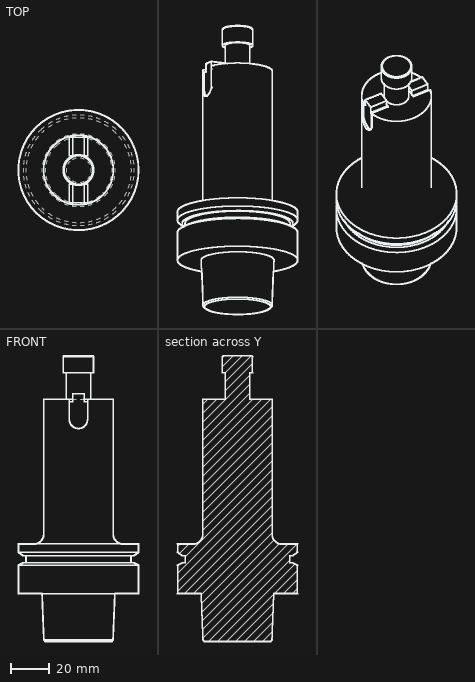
import cadquery as cq


shank_length = 25.0
shank_top_diameter = 38.2
shank_end_diameter = 36.3
shank_end_chamfer = 0.8

flange_diameter = 63.0
flange_height = 26.0
groove_lower_edge = 14.9
groove_lower_floor = 16.2
groove_upper_floor = 19.8
groove_upper_edge = 21.6
groove_floor_diameter = 55.0
groove_wall_foot_diameter = 58.0

arbor_diameter = 36.5
arbor_top = 101.7
arbor_root_radius = 5.0

key_width = 6.0
key_top = arbor_top + 2.8
key_inner_y = 7.5
key_outer_y = 17.0
slot_width = 9.5
slot_depth = 15.4
shoulder_depth = 1.4

screw_top = 124.46
screw_head_height = 9.0
screw_head_diameter = 16.0
screw_head_chamfer = 0.5
screw_stem_diameter = 13.0


def make_shank():
    """Solid tapered shank with a chamfered lower end."""
    end_radius = shank_end_diameter / 2
    return (
        cq.Workplane("XZ")
        .moveTo(0, 0)
        .lineTo(shank_top_diameter / 2, 0)
        .lineTo(end_radius, -shank_length + shank_end_chamfer)
        .lineTo(end_radius - shank_end_chamfer, -shank_length)
        .lineTo(0, -shank_length)
        .close()
        .revolve(360, (0, 0, 0), (0, 1, 0))
    )


def make_flange():
    """Flange disc with a groove that has sloped, stepped walls around its rim."""
    rim_radius = flange_diameter / 2
    foot_radius = groove_wall_foot_diameter / 2
    floor_radius = groove_floor_diameter / 2
    return (
        cq.Workplane("XZ")
        .moveTo(0, 0)
        .lineTo(rim_radius, 0)
        .lineTo(rim_radius, groove_lower_edge)
        .lineTo(foot_radius, groove_lower_floor)
        .lineTo(floor_radius, groove_lower_floor)
        .lineTo(floor_radius, groove_upper_floor)
        .lineTo(foot_radius, groove_upper_floor)
        .lineTo(rim_radius, groove_upper_edge)
        .lineTo(rim_radius, flange_height)
        .lineTo(0, flange_height)
        .close()
        .revolve(360, (0, 0, 0), (0, 1, 0))
    )


def make_arbor():
    """Cylindrical arbor with a concave fillet where it meets the flange."""
    radius = arbor_diameter / 2
    return (
        cq.Workplane("XZ")
        .moveTo(0, flange_height)
        .lineTo(radius + arbor_root_radius, flange_height)
        .radiusArc((radius, flange_height + arbor_root_radius), arbor_root_radius)
        .lineTo(radius, arbor_top)
        .lineTo(0, arbor_top)
        .close()
        .revolve(360, (0, 0, 0), (0, 1, 0))
    )


def make_round_bottomed_prism(top_z, outer_y):
    """Prism with the slot's round-bottomed outline, from the key's inner end out to Y = -outer_y."""
    half_width = slot_width / 2
    bottom_z = arbor_top - slot_depth
    arc_center_z = bottom_z + half_width
    return (
        cq.Workplane("XZ", origin=(0, -key_inner_y, 0))
        .moveTo(-half_width, top_z)
        .lineTo(-half_width, arc_center_z)
        .threePointArc((0, bottom_z), (half_width, arc_center_z))
        .lineTo(half_width, top_z)
        .close()
        .extrude(outer_y - key_inner_y)
    )


def make_key_slot():
    """Slot cutter that opens through the arbor's side and top."""
    return make_round_bottomed_prism(arbor_top, arbor_diameter / 2)


def make_key():
    """Key filling the slot up to its shoulders, with a narrower tenon on top."""
    shoulder_z = arbor_top - shoulder_depth
    base = make_round_bottomed_prism(shoulder_z, key_outer_y)
    tenon = (
        cq.Workplane("XY", origin=(0, -(key_inner_y + key_outer_y) / 2, shoulder_z))
        .rect(key_width, key_outer_y - key_inner_y)
        .extrude(key_top - shoulder_z)
    )
    return base.union(tenon)


def make_screw():
    """Screw stem rising from the arbor, with a head chamfered at its top."""
    head_bottom = screw_top - screw_head_height
    stem = (
        cq.Workplane("XY", origin=(0, 0, arbor_top))
        .circle(screw_stem_diameter / 2)
        .extrude(head_bottom - arbor_top)
    )
    head = (
        cq.Workplane("XY", origin=(0, 0, head_bottom))
        .circle(screw_head_diameter / 2)
        .extrude(screw_head_height)
        .faces(">Z")
        .chamfer(screw_head_chamfer)
    )
    return stem.union(head)


result = make_shank().union(make_flange()).union(make_arbor())
for side_angle in (0, 180):
    slot = make_key_slot().rotate((0, 0, 0), (0, 0, 1), side_angle)
    key = make_key().rotate((0, 0, 0), (0, 0, 1), side_angle)
    result = result.cut(slot).union(key)
result = result.union(make_screw())